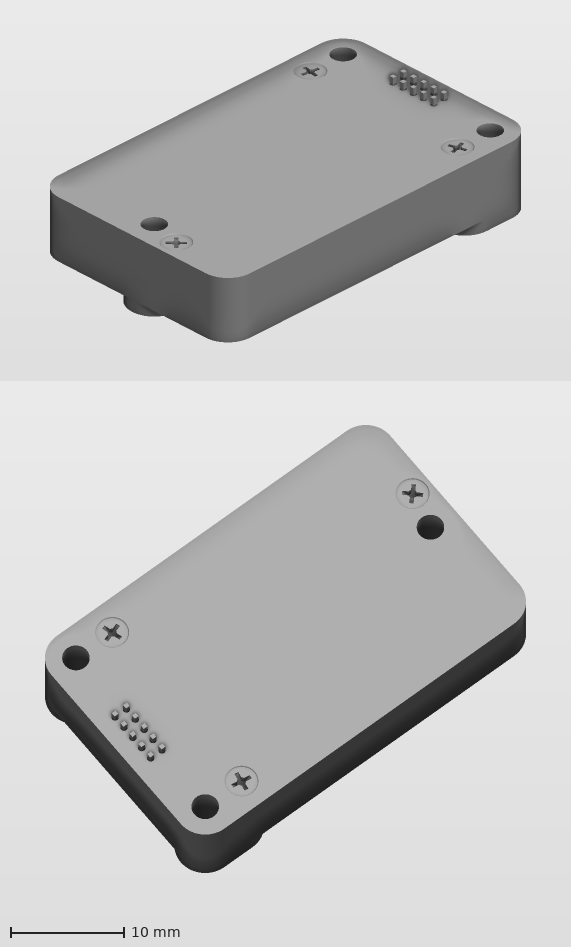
import cadquery as cq

case_width = 23.98
case_length = 38.0
foot_diameter = 5.47
corner_radius = foot_diameter / 2

foot_height = 1.25
cover_bottom = 6.4
cover_top = 7.85
pin_top = 8.63

mount_x = case_width / 2 - corner_radius
mount_y = case_length / 2 - corner_radius
mount_hole_diameter = 2.45
mount_points = [(-mount_x, mount_y), (mount_x, mount_y), (0, -mount_y)]
long_foot_stretch = 3.15

pin_columns = 5
pin_rows = 2
pin_row_length = 5.1
pin_pitch = pin_row_length / (pin_columns - 1)
pin_width = 0.4
pin_hole_diameter = 0.65
pin_block_y = 16.5

rear_screw_y = 12.2
screw_places = [
    (-mount_x, rear_screw_y, -9),
    (mount_x, rear_screw_y, 17),
    (3.57, -17.05, 45),
]
seat_diameter = 3.0
head_diameter = 2.85
shank_diameter = 1.52
head_top = cover_top - (seat_diameter - head_diameter) / 2
shank_depth_in_base = 1.9
cross_span = 1.85
cross_arm_width = 0.38
cross_cone_diameter = 2.2
cross_core_diameter = 0.8
cross_depth = 1.2


def case_block(bottom, top):
    """Rounded rectangular slab between two heights."""
    slab = cq.Workplane("XY", origin=(0, 0, bottom)).rect(case_width, case_length).extrude(top - bottom)
    return slab.edges("|Z").fillet(corner_radius)


def cylinders(points, diameter, bottom, top):
    """Upright cylinders of one diameter at several points."""
    plane = cq.Workplane("XY", origin=(0, 0, bottom))
    return plane.pushPoints(points).circle(diameter / 2).extrude(top - bottom)


def countersunk_shape(x, y, top_diameter, top):
    """Shank with a 90 degree cone above it that opens to a given diameter at the top."""
    cone_height = (top_diameter - shank_diameter) / 2
    shank_bottom = cover_bottom - shank_depth_in_base
    shank = cylinders([(x, y)], shank_diameter, shank_bottom, top - cone_height)
    cone = cq.Solid.makeCone(
        shank_diameter / 2, top_diameter / 2, cone_height, pnt=cq.Vector(x, y, top - cone_height)
    )
    return shank.union(cq.Workplane(cone))


def cross_recess(x, y, turn):
    """Cross-shaped recess whose floor slopes down to a point like a cone."""
    floor_z = head_top - cross_depth
    plane = cq.Workplane("XY", origin=(0, 0, floor_z))
    cross = plane.rect(cross_span, cross_arm_width).extrude(cross_depth)
    cross = cross.union(plane.rect(cross_arm_width, cross_span).extrude(cross_depth))
    cross = cross.union(plane.circle(cross_core_diameter / 2).extrude(cross_depth))
    cone = cq.Solid.makeCone(0, cross_cone_diameter / 2, cross_depth, pnt=cq.Vector(0, 0, floor_z))
    return cross.intersect(cq.Workplane(cone)).rotate((0, 0, 0), (0, 0, 1), turn).translate((x, y, 0))


def long_foot(x):
    """Foot with round ends, running along Y from a mounting hole towards the screw."""
    centre_y = mount_y - long_foot_stretch / 2
    plane = cq.Workplane("XY", origin=(x, centre_y, 0))
    return plane.slot2D(long_foot_stretch + foot_diameter, foot_diameter, 90).extrude(foot_height)


pin_points = [
    (
        (column - (pin_columns - 1) / 2) * pin_pitch,
        pin_block_y + (row - (pin_rows - 1) / 2) * pin_pitch,
    )
    for row in range(pin_rows)
    for column in range(pin_columns)
]


def connector_pins():
    """Square pins rising from the base to above the cover."""
    plane = cq.Workplane("XY", origin=(0, 0, cover_bottom))
    return plane.pushPoints(pin_points).rect(pin_width, pin_width).extrude(pin_top - cover_bottom)


def make_base():
    """Lower case with its three feet, the connector pins, mounting holes and screw holes."""
    base = case_block(foot_height, cover_bottom)
    for side in (-1, 1):
        base = base.union(long_foot(side * mount_x))
    base = base.union(cylinders([(0, -mount_y)], foot_diameter, 0, foot_height))
    base = base.union(connector_pins())
    base = base.cut(cylinders(mount_points, mount_hole_diameter, 0, cover_bottom))
    for x, y, _ in screw_places:
        base = base.cut(countersunk_shape(x, y, seat_diameter, cover_top))
    return base


def make_cover():
    """Flat cover with mounting holes, pin clearance holes and screw seats."""
    cover = case_block(cover_bottom, cover_top)
    cover = cover.cut(cylinders(mount_points, mount_hole_diameter, cover_bottom, cover_top))
    cover = cover.cut(cylinders(pin_points, pin_hole_diameter, cover_bottom, cover_top))
    for x, y, _ in screw_places:
        cover = cover.cut(countersunk_shape(x, y, seat_diameter, cover_top))
    return cover


def make_screw(x, y, turn):
    """Cross-head screw joining the cover to the base."""
    return countersunk_shape(x, y, head_diameter, head_top).cut(cross_recess(x, y, turn))


base = make_base()
cover = make_cover()
screws = [make_screw(x, y, turn) for x, y, turn in screw_places]

result = cq.Compound.makeCompound([base.val(), cover.val(), *[screw.val() for screw in screws]])